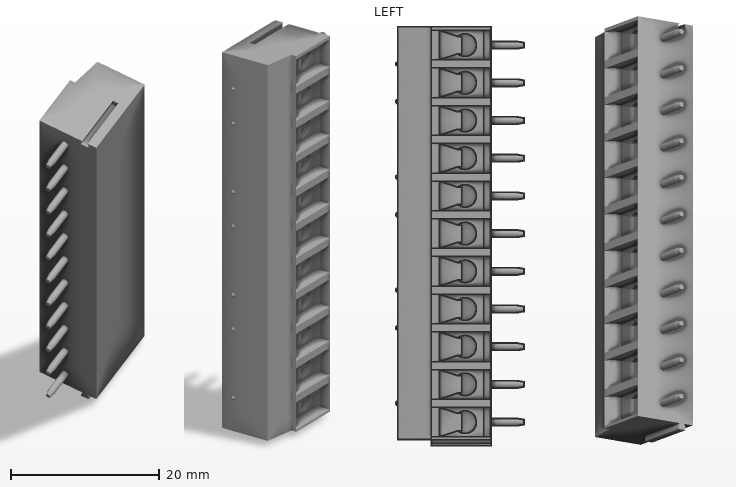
import cadquery as cq


pole_count = 11
pole_span = 50.85
pole_pitch = pole_span / (pole_count - 1)
body_width = 9.0
body_depth = 12.6
body_height = 55.7
step_y = 8.05
step_x = 0.8
slope_top_x = 1.5
top_margin = 2.5
first_pole_z = body_height - top_margin - pole_span
pole_heights = [first_pole_z + i * pole_pitch for i in range(pole_count)]

pocket_height = 4.0
floor_x = 1.9
lead_in = 1.0
pocket_top_y = step_y - lead_in
front_lip = 0.1
ramp_end_y = 0.95
ramp_rise = 0.45

tongue_x = 1.75
tongue_round = 0.5
tongue_low_y = 3.95
tongue_wide = 3.7
tongue_narrow = 2.3
hole_radius = 1.5
hole_y = 3.5
hole_floor_x = 2.6

pin_x = 4.1
pin_radius = 0.5
pin_tip_radius = 0.35
pin_length = 4.45
pin_tip_length = 0.95

dovetail_x = 7.2
head_width = 1.2
tail_neck_width = 0.7
tail_shoulder = 0.5
tail_height = 0.85
slot_mouth_width = 0.85
slot_shoulder = 0.15
slot_depth = 0.8

bump_radius = 0.3
bump_height = 0.2
bump_group = 3


def make_housing():
    outline = [
        (0, 0),
        (body_width, 0),
        (body_width, body_depth),
        (slope_top_x, body_depth),
        (step_x, step_y),
        (0, step_y),
    ]
    return cq.Workplane("XY").polyline(outline).close().extrude(body_height)


def make_pocket(z):
    """Open recess with a ramp at the front and a gap behind the tongue end."""
    gap_y = pocket_top_y - tongue_round
    gap_x = tongue_x + tongue_round
    profile = [
        (0, front_lip),
        (floor_x - ramp_rise, front_lip),
        (floor_x, ramp_end_y),
        (floor_x, gap_y),
        (gap_x, gap_y),
        (gap_x, pocket_top_y),
        (lead_in, pocket_top_y),
        (0, step_y),
    ]
    bottom = cq.Workplane("XY", origin=(0, 0, z - pocket_height / 2))
    return bottom.polyline(profile).close().extrude(pocket_height)


def make_wire_hole(z):
    mouth = cq.Workplane("YZ", origin=(0, hole_y, z))
    return mouth.circle(hole_radius).extrude(hole_floor_x)


def make_tongue(z):
    """Tapered contact strip whose two ends are rounded down into the housing."""
    side = (
        cq.Workplane("XY", origin=(0, 0, z - tongue_wide / 2))
        .moveTo(hole_floor_x, tongue_low_y)
        .lineTo(tongue_x + tongue_round, tongue_low_y)
        .radiusArc((tongue_x, tongue_low_y + tongue_round), tongue_round)
        .lineTo(tongue_x, pocket_top_y - tongue_round)
        .radiusArc((tongue_x + tongue_round, pocket_top_y), tongue_round)
        .lineTo(hole_floor_x, pocket_top_y)
        .close()
        .extrude(tongue_wide)
    )
    taper_end_y = tongue_low_y + tongue_round
    taper_start_y = pocket_top_y - tongue_round
    plan = [
        (tongue_low_y, -tongue_narrow / 2),
        (taper_end_y, -tongue_narrow / 2),
        (taper_start_y, -tongue_wide / 2),
        (pocket_top_y, -tongue_wide / 2),
        (pocket_top_y, tongue_wide / 2),
        (taper_start_y, tongue_wide / 2),
        (taper_end_y, tongue_narrow / 2),
        (tongue_low_y, tongue_narrow / 2),
    ]
    front = cq.Workplane("YZ", origin=(0, 0, z)).polyline(plan).close().extrude(hole_floor_x)
    return side.intersect(front)


def make_pin(z):
    """Round pin with a conical tip, rooted on the front face."""
    shank_length = pin_length - pin_tip_length
    profile = [
        (0, 0),
        (pin_radius, 0),
        (pin_radius, -shank_length),
        (pin_tip_radius, -pin_length),
        (0, -pin_length),
    ]
    axis_plane = cq.Workplane("XY", origin=(pin_x, 0, z))
    return axis_plane.polyline(profile).close().revolve(360, (0, 0), (0, 1))


def make_dovetail(root_z, neck_width, shoulder, height):
    """Bar hanging below root_z: sides slant out from the neck, then run straight down."""
    shoulder_z = root_z - shoulder
    head_z = root_z - height
    profile = [
        (dovetail_x - neck_width / 2, root_z),
        (dovetail_x - head_width / 2, shoulder_z),
        (dovetail_x - head_width / 2, head_z),
        (dovetail_x + head_width / 2, head_z),
        (dovetail_x + head_width / 2, shoulder_z),
        (dovetail_x + neck_width / 2, root_z),
    ]
    return cq.Workplane("XZ").polyline(profile).close().extrude(-step_y)


def make_bump(z):
    center_y = body_depth + bump_height - bump_radius
    return cq.Workplane("XY", origin=(dovetail_x, center_y, z)).sphere(bump_radius)


result = make_housing()

for pole_z in pole_heights:
    result = result.cut(make_pocket(pole_z))
    result = result.cut(make_wire_hole(pole_z))
    result = result.union(make_tongue(pole_z))
    result = result.union(make_pin(pole_z))

result = result.cut(make_dovetail(body_height, slot_mouth_width, slot_shoulder, slot_depth))
result = result.union(make_dovetail(0, tail_neck_width, tail_shoulder, tail_height))

for boundary in range(1, pole_count):
    if boundary % bump_group != 0:
        result = result.union(make_bump(pole_heights[-boundary] - pole_pitch / 2))